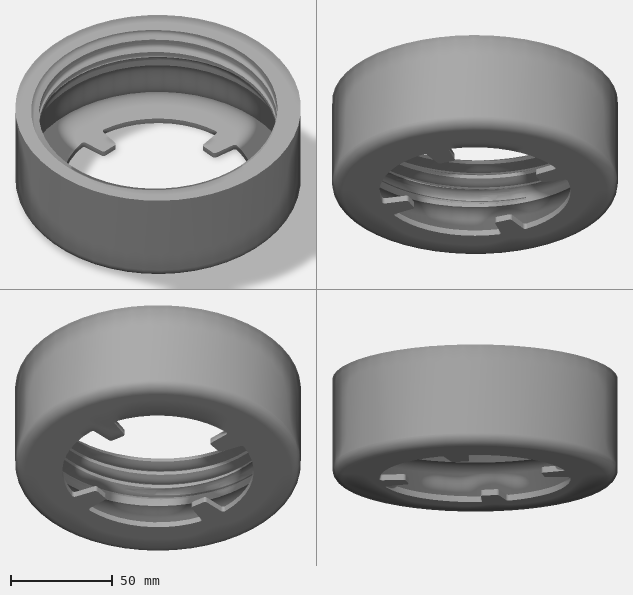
import cadquery as cq
import math

outer_diameter = 140.0
outer_radius = outer_diameter / 2
height = 50.0
bottom_fillet = 5.0
floor_thickness = 3.0

chamber_radius = 134.0 / 2
chamber_wall_top = 19.5
step_radius = 125.0 / 2
step_wall_height = 3.6
bore_radius = 116.9 / 2

thread_pitch = 8.0
thread_root_radius = 125.9 / 2
thread_half_angle = math.radians(30)
thread_root_width = thread_pitch / 8
thread_turns = 4
turns_below_rim = 3
cutter_overlap = 1.0

opening_radius = 46.9
finger_count = 4
finger_tip_distance = 34.0
finger_tip_width = 8.7
finger_base_width = 12.9
finger_overlap = 1.4
finger_fillet = 1.4


def make_body():
    """Solid cup blank with a rounded lower edge."""
    return cq.Workplane("XY").circle(outer_radius).extrude(height).faces("<Z").edges().fillet(bottom_fillet)


def make_cavity():
    """Chamber that narrows to the bore through two quarter-round shoulders."""
    lower_arc = chamber_radius - step_radius
    upper_arc = step_radius - bore_radius
    step_bottom = chamber_wall_top + lower_arc
    step_top = step_bottom + step_wall_height
    bore_bottom = step_top + upper_arc
    diagonal = math.sqrt(0.5)
    return (
        cq.Workplane("XZ")
        .moveTo(0, floor_thickness)
        .lineTo(chamber_radius, floor_thickness)
        .lineTo(chamber_radius, chamber_wall_top)
        .threePointArc(
            (step_radius + lower_arc * diagonal, chamber_wall_top + lower_arc * diagonal),
            (step_radius, step_bottom),
        )
        .lineTo(step_radius, step_top)
        .threePointArc(
            (bore_radius + upper_arc * diagonal, step_top + upper_arc * diagonal),
            (bore_radius, bore_bottom),
        )
        .lineTo(bore_radius, height)
        .lineTo(0, height)
        .close()
        .revolve(360, (0, 0, 0), (0, 1, 0))
    )


def make_thread_turn(turn):
    """One turn of the helical groove; counted from the lowest, its root meets the rim on the -Y side."""
    inner_radius = bore_radius - cutter_overlap
    root_half = thread_root_width / 2
    inner_half = root_half + (thread_root_radius - inner_radius) * math.tan(thread_half_angle)
    helix = cq.Wire.makeHelix(thread_pitch, thread_pitch, bore_radius)
    groove = (
        cq.Workplane("XZ")
        .polyline([
            (inner_radius, -inner_half),
            (thread_root_radius, -root_half),
            (thread_root_radius, root_half),
            (inner_radius, inner_half),
        ])
        .close()
        .sweep(cq.Workplane(obj=helix), isFrenet=True)
    )
    start_height = height + (turn - turns_below_rim) * thread_pitch
    return groove.rotate((0, 0, 0), (0, 0, 1), -90).translate((0, 0, start_height))


def make_opening():
    """Round floor opening minus the fingers that reach into it."""
    opening = cq.Workplane("XY").circle(opening_radius).extrude(floor_thickness)
    base_distance = opening_radius + finger_overlap
    finger = (
        cq.Workplane("XY")
        .polyline([
            (finger_tip_distance, -finger_tip_width / 2),
            (base_distance, -finger_base_width / 2),
            (base_distance, finger_base_width / 2),
            (finger_tip_distance, finger_tip_width / 2),
        ])
        .close()
        .extrude(floor_thickness)
    )
    for index in range(finger_count):
        opening = opening.cut(finger.rotate((0, 0, 0), (0, 0, 1), index * 360 / finger_count))
    return opening.edges("|Z").fillet(finger_fillet)


result = make_body().cut(make_cavity())
for turn in range(thread_turns):
    result = result.cut(make_thread_turn(turn))
result = result.cut(make_opening())